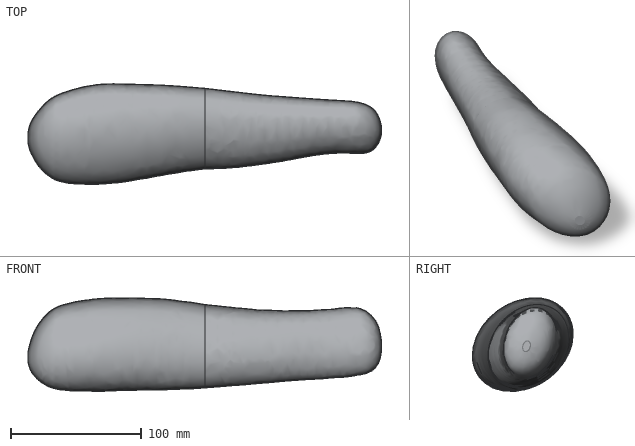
import cadquery as cq
import math


LENGTH = 271.3
JOINT_X = 135.7
OVAL_LEAN = 0.22
OVAL_POINTS = 32
SEAM_ANGLE = 0.0
STEPS_PER_SPAN = 5
FIT_TOLERANCE = 0.05

JOINT_SECTION = (JOINT_X, 4.5, -1.4, 31.0, 32.0)

HEAD_SECTIONS = [
    (0.0, -2.5, -9.5, 4.0, 4.0),
    (1.4, -2.5, -9.0, 9.5, 9.5),
    (3.8, -2.5, -7.5, 14.7, 15.2),
    (8.7, -3.0, -5.7, 22.0, 22.2),
    (16.3, -2.7, -3.8, 29.3, 28.8),
    (28.2, -2.2, -2.2, 34.7, 33.0),
    (51.5, 0.0, -0.5, 38.3, 35.5),
    (76.0, 1.4, 0.3, 37.5, 35.5),
    (103.0, 3.3, 0.0, 34.7, 35.0),
    JOINT_SECTION,
]

HANDLE_SECTIONS = [
    JOINT_SECTION,
    (157.5, 3.8, -1.5, 29.3, 30.0),
    (180.2, 3.8, -1.5, 26.5, 28.2),
    (204.9, 5.0, -0.8, 23.5, 26.9),
    (228.0, 6.0, 0.3, 21.0, 26.5),
    (247.0, 5.7, 2.0, 20.0, 26.5),
    (257.8, 4.5, 2.0, 19.0, 24.7),
    (263.7, 4.0, 0.8, 16.5, 21.2),
    (268.0, 3.8, 0.0, 12.0, 16.0),
    (270.5, 3.3, -1.0, 6.2, 9.0),
    (LENGTH, 3.3, -1.4, 3.0, 4.0),
]


def oval_points(x, center_y, center_z, half_width, half_height):
    """Points around a leaning oval in the plane at x; the last repeats the first."""
    phase = math.acos(OVAL_LEAN)
    points = []
    for i in range(OVAL_POINTS + 1):
        angle = SEAM_ANGLE + 2 * math.pi * (i % OVAL_POINTS) / OVAL_POINTS
        y = center_y + half_width * math.cos(angle)
        z = center_z + half_height * math.cos(angle - phase)
        points.append(cq.Vector(x, y, z))
    return points


def blended_sections(sections):
    """Closely spaced sections on smooth curves through the given ones."""
    knots = list(range(len(sections)))
    centers = [cq.Vector(x, y, z) for x, y, z, _, _ in sections]
    half_sizes = [cq.Vector(x, width, height) for x, _, _, width, height in sections]
    center_curve = cq.Edge.makeSpline(centers, parameters=knots)
    size_curve = cq.Edge.makeSpline(half_sizes, parameters=knots)
    blended = []
    for step in range(knots[-1] * STEPS_PER_SPAN + 1):
        knot = step / STEPS_PER_SPAN
        center = center_curve.positionAt(knot, mode="parameter")
        size = size_curve.positionAt(knot, mode="parameter")
        blended.append((center.x, center.y, center.z, size.y, size.z))
    return blended


def end_cap(skin, x):
    """Flat face closing the skin in the plane at x."""
    rim = [edge for edge in skin.Edges() if abs(edge.Center().x - x) < FIT_TOLERANCE]
    return cq.Face.makeFromWires(cq.Wire.assembleEdges(rim))


def skinned_body(sections):
    """Solid with one smooth skin through all the oval sections and flat end caps."""
    grid = [oval_points(*section) for section in blended_sections(sections)]
    skin = cq.Face.makeSplineApprox(grid, tol=FIT_TOLERANCE, minDeg=3, maxDeg=5)
    first_x = sections[0][0]
    last_x = sections[-1][0]
    shell = cq.Shell.makeShell([skin, end_cap(skin, first_x), end_cap(skin, last_x)])
    return cq.Solid.makeSolid(shell).fix()


head = skinned_body(HEAD_SECTIONS)

handle = skinned_body(HANDLE_SECTIONS)

result = cq.Compound.makeCompound([head, handle])